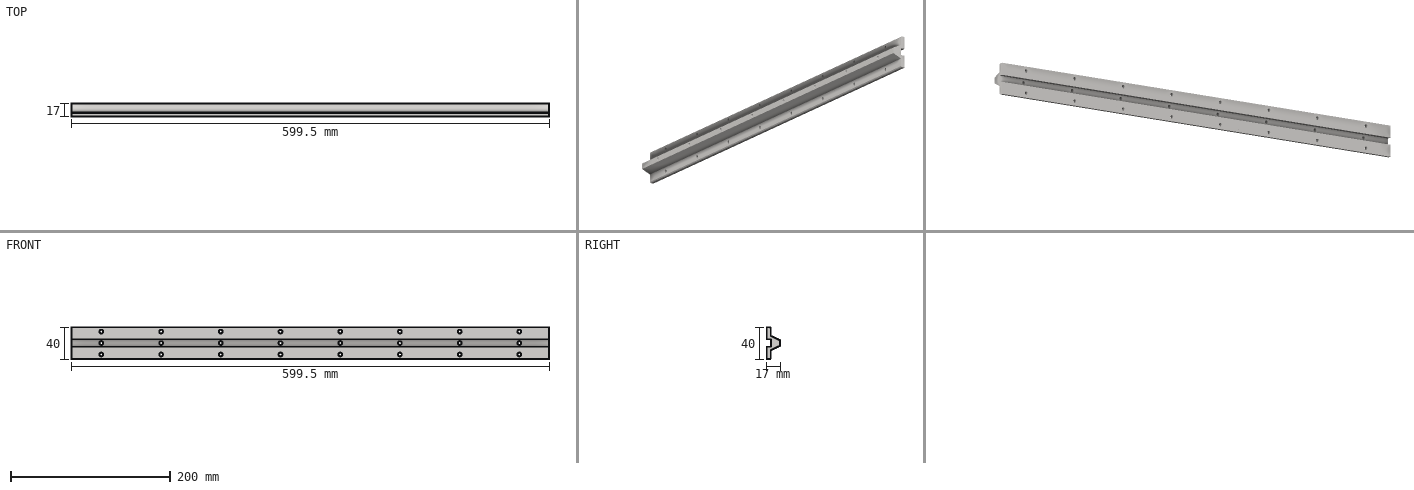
import cadquery as cq

length = 599.5
depth = 17.0
height = 40.0

flange_thickness = 5.5
flange_chamfer = 1.0
crest_width = 7.0
ridge_base_width = 18.0
channel_width = 9.0
channel_depth = 5.5

hole_diameter = 4.5
row_count = 3
hole_count = 8
hole_pitch = length / hole_count
row_spacing = 14.5


def make_rail():
    """Flat strip with a tapered ridge and chamfered edges on its back, extruded along X."""
    half_profile = [
        (0, height / 2),
        (flange_thickness - flange_chamfer, height / 2),
        (flange_thickness, height / 2 - flange_chamfer),
        (flange_thickness, ridge_base_width / 2),
        (depth, crest_width / 2),
    ]
    mirrored_half = [(y, -z) for y, z in reversed(half_profile)]
    profile = cq.Workplane("YZ").polyline(half_profile + mirrored_half).close()
    return profile.extrude(length / 2, both=True)


def make_channel():
    """Rectangular groove running the full length of the flat front face."""
    return cq.Workplane("XY").box(length, channel_depth, channel_width, centered=(True, False, True))


def make_holes():
    """Rows of holes along Y, half a pitch in from each end."""
    return (
        cq.Workplane("XZ")
        .rarray(hole_pitch, row_spacing, hole_count, row_count)
        .circle(hole_diameter / 2)
        .extrude(-depth)
    )


result = make_rail().cut(make_channel()).cut(make_holes())